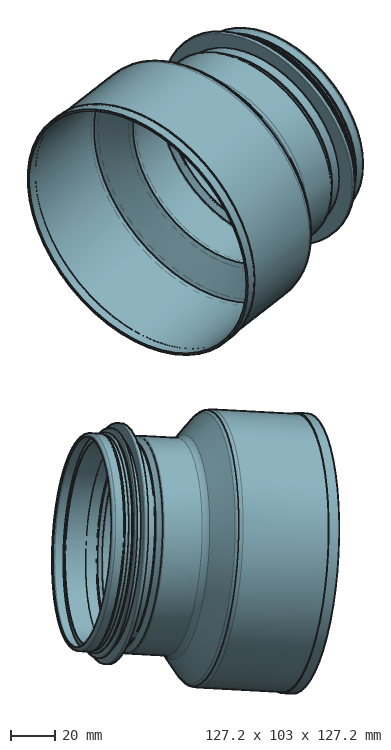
import cadquery as cq
import math

length = 103.0
wall = 0.5

rim_radius = 63.6
wide_radius = rim_radius - wall
tube_radius = 49.5
neck_radius = 47.15
lip_hole_radius = 47.7

rim_length = 5.0
wide_corner = 47.3
cone_angle = 50.0
shoulder_corner = 79.2
shoulder_angle = 40.0
groove_end = length - 6.1

wide_bend = 4.3
tube_bend = 4.1
shoulder_bend = 1.5
neck_bend = 0.8
lip_bend = 1.5

seal_radius = 49.0
bead_radius = 50.1
bead_center = length - 8.7
bead_half_width = 0.8
lip_radius = 52.25
lip_width = 1.0
lip_start = length - 11.1
lip_round = 0.4
flange_radius = 54.7
flange_width = 2.0
flange_round = 0.3
seal_start = length - 15.7


def cone_run(radial_drop, angle):
    """Axial length of a cone that drops by radial_drop at angle from the axis."""
    return radial_drop / math.tan(math.radians(angle))


def wall_shift(angle):
    """Axial shift of a cone's corner between the outer and inner surfaces."""
    return wall * math.tan(math.radians(angle) / 2)


def revolve(profile):
    return profile.close().revolve(360, (0, 0, 0), (0, 1, 0))


def solid_of_revolution(points):
    return revolve(cq.Workplane("XY").polyline(points))


def round_circle(body, radius, y, bend):
    """Round the circular edge of the given radius at the place y on the axis."""
    tolerance = 0.01
    box = cq.selectors.BoxSelector(
        (-radius - tolerance, y - tolerance, -radius - tolerance),
        (radius + tolerance, y + tolerance, radius + tolerance),
        boundingbox=True,
    )
    edges = [e for e in body.edges(box).vals() if abs(e.radius() - radius) < tolerance]
    return body.newObject(edges).fillet(bend)


def make_envelope(offset):
    """Solid bounded by the reducer's surface, moved inward by offset (0 or one wall)."""
    inner = offset > 0
    main_shift = wall_shift(cone_angle) if inner else 0
    shoulder_shift = wall_shift(shoulder_angle) if inner else 0
    wide = wide_radius - offset
    tube = tube_radius - offset
    neck = neck_radius - offset
    wide_y = wide_corner - main_shift
    tube_y = wide_y + cone_run(wide - tube, cone_angle)
    shoulder_y = shoulder_corner - shoulder_shift
    neck_y = shoulder_y + cone_run(tube - neck, shoulder_angle)
    groove_y = groove_end + offset
    end_y = length - offset
    body = solid_of_revolution([
        (0, 0), (wide, 0), (wide, wide_y), (tube, tube_y), (tube, shoulder_y),
        (neck, neck_y), (neck, groove_y), (tube, groove_y), (tube, end_y), (0, end_y),
    ])
    if not inner:
        body = round_circle(body, wide, wide_y, wide_bend)
        body = round_circle(body, tube, tube_y, tube_bend)
        body = round_circle(body, tube, shoulder_y, shoulder_bend)
        body = round_circle(body, neck, neck_y, neck_bend)
    return round_circle(body, tube, end_y, lip_bend - offset)


def make_rim():
    """Thickened band around the wide mouth."""
    bore_radius = wide_radius - wall
    return solid_of_revolution([
        (bore_radius, 0), (rim_radius, 0), (rim_radius, rim_length), (bore_radius, rim_length),
    ])


def make_reducer():
    end_hole = solid_of_revolution([
        (0, length - lip_bend), (lip_hole_radius, length - lip_bend),
        (lip_hole_radius, length), (0, length),
    ])
    shell = make_envelope(0).cut(make_envelope(wall)).cut(end_hole)
    return shell.union(make_rim()).solids()


def make_seal():
    """Seal ring filling the groove, with a flange, a thin lip and a round bead."""
    flange_end = seal_start + flange_width
    lip_end = lip_start + lip_width
    profile = (
        cq.Workplane("XY")
        .moveTo(neck_radius, seal_start)
        .lineTo(flange_radius - flange_round, seal_start)
        .radiusArc((flange_radius, seal_start + flange_round), -flange_round)
        .lineTo(flange_radius, flange_end - flange_round)
        .radiusArc((flange_radius - flange_round, flange_end), -flange_round)
        .lineTo(seal_radius, flange_end)
        .lineTo(seal_radius, lip_start)
        .lineTo(lip_radius, lip_start)
        .lineTo(lip_radius, lip_end - lip_round)
        .radiusArc((lip_radius - lip_round, lip_end), -lip_round)
        .lineTo(seal_radius, lip_end)
        .lineTo(seal_radius, bead_center - bead_half_width)
        .threePointArc((bead_radius, bead_center), (seal_radius, bead_center + bead_half_width))
        .lineTo(seal_radius, groove_end)
        .lineTo(neck_radius, groove_end)
    )
    return revolve(profile)


reducer = make_reducer()
seal = make_seal()
result = cq.Compound.makeCompound([reducer.val(), seal.val()])